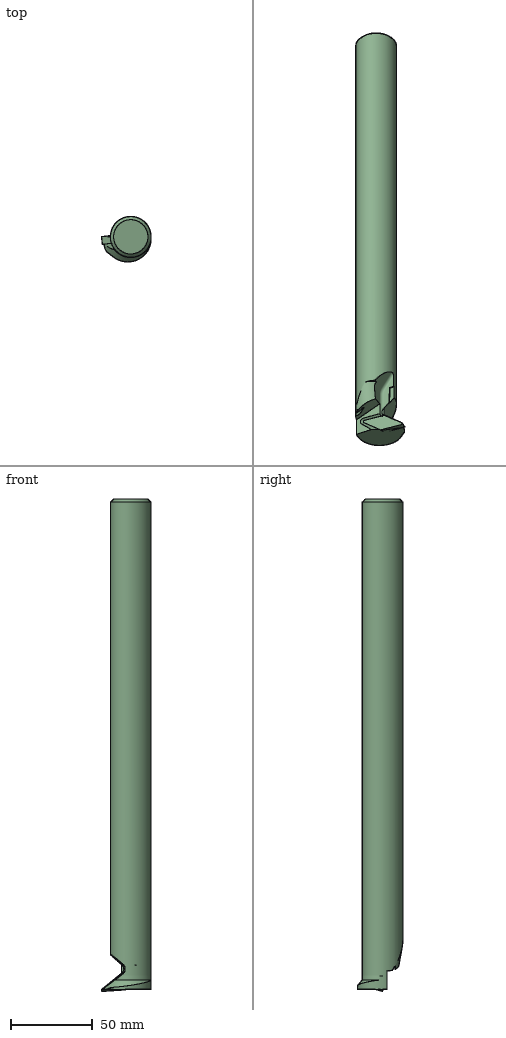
import cadquery as cq
import math

shank_radius = 24.98 / 2
bar_top = 301.25
bar_end = 1.25
top_chamfer = 2.0

nose_reach = 18.0
nose_radius = 0.8
inscribed_diameter = 9.525
insert_point_angle = 35.0
insert_thickness = 4.76
insert_relief = 7.0
lower_edge_angle = 4.0
upper_edge_angle = lower_edge_angle + insert_point_angle
insert_edge = inscribed_diameter / math.sin(math.radians(insert_point_angle))
head_tilt = 8.0

flange_overhang = 15.41
flange_center_x = -1.8
flange_radius = shank_radius - flange_center_x
flange_center_y = flange_radius - flange_overhang
flange_side_angle = 232.0
flange_corner_y = -8.5
flange_tip_x = -17.6
neck_top = 9.6
neck_growth = 0.2
flare_top = 6.9
flare_angle = 40.0

notch_top = 22.5
notch_slope = 48.0
notch_relief = 4.0
notch_fillet = 3.0

pocket_floor_y = 0.6
pocket_top = 41.0
pocket_wall_x = -4.0
pocket_slope = 36.0
pocket_ramp_fillet = 8.5
pocket_floor_fillet = 1.8

lip_y = 2.8
lip_flare = 45.0
lip_cut_top = 19.0
lip_cut_slope = 22.0
back_offset = 3.0
back_taper = 10.0
back_taper_start = 31.0

clear = 40.0


def along(point, angle, length):
    """The point at a distance from another, at an angle in degrees from the first axis."""
    turn = math.radians(angle)
    return (point[0] + length * math.cos(turn), point[1] + length * math.sin(turn))


def tilted(shape):
    """Leans a shape about the X axis, so that its upper end moves toward +Y."""
    return shape.rotate((0, 0, 0), (1, 0, 0), -head_tilt)


nose_center = (-nose_reach + nose_radius, nose_radius)
corner_setback = nose_radius / math.sin(math.radians(insert_point_angle / 2))
insert_corner = along(nose_center, lower_edge_angle + insert_point_angle / 2, -corner_setback)


def insert_outline():
    lower = along(insert_corner, lower_edge_angle, insert_edge)
    upper = along(insert_corner, upper_edge_angle, insert_edge)
    far = along(lower, upper_edge_angle, insert_edge)
    outline = cq.Sketch().polygon([insert_corner, lower, far, upper, insert_corner])
    return outline.vertices("<X or >X").fillet(nose_radius)


def make_insert():
    plate = cq.Workplane("XZ").placeSketch(insert_outline()).extrude(insert_thickness, taper=insert_relief)
    return tilted(plate)


def insert_opening():
    """The open space over the rake face of the insert, flaring out through the lip."""
    height = 2 * lip_y
    return tilted(cq.Workplane("XZ").placeSketch(insert_outline()).extrude(-height, taper=-lip_flare))


def make_shank():
    shank = cq.Workplane("XY").workplane(offset=bar_end).circle(shank_radius).extrude(bar_top - bar_end)
    return shank.faces(">Z").chamfer(top_chamfer)


def make_flange():
    """A flared collar, trimmed to an eccentric outline on the -Y half."""
    neck_radius = shank_radius + neck_growth
    rim_radius = neck_radius + (flare_top - bar_end) * math.tan(math.radians(flare_angle))
    collar = (
        cq.Workplane("XZ")
        .polyline([
            (0, neck_top),
            (shank_radius, neck_top),
            (neck_radius, flare_top),
            (rim_radius, bar_end),
            (0, bar_end),
        ])
        .close()
        .revolve(360, (0, 0, 0), (0, 1, 0))
    )
    center = (flange_center_x, flange_center_y)
    side_start = along(center, flange_side_angle, flange_radius)
    side_length = (flange_corner_y - side_start[1]) / -math.cos(math.radians(flange_side_angle))
    flange_corner = along(side_start, flange_side_angle - 90, side_length)
    outline = (
        cq.Workplane("XY")
        .moveTo(shank_radius, 0)
        .lineTo(shank_radius, flange_center_y)
        .threePointArc(along(center, 270, flange_radius), side_start)
        .lineTo(*flange_corner)
        .lineTo(flange_tip_x, 0)
        .close()
        .extrude(neck_top)
    )
    return collar.intersect(outline)


def clearance_notch():
    """The space between the bar and the upper insert edge, widening toward -Y."""
    slope = math.tan(math.radians(notch_slope))
    rise = math.tan(math.radians(upper_edge_angle))
    left = -clear
    slope_at_left = notch_top + (-shank_radius - left) / slope
    edge_at_left = insert_corner[1] + (left - insert_corner[0]) * rise
    root_x = left + (slope_at_left - edge_at_left) / (rise + 1 / slope)
    root_z = edge_at_left + (root_x - left) * rise
    outline = (
        cq.Sketch()
        .polygon([
            (left, slope_at_left),
            (root_x, root_z),
            (left, edge_at_left),
            (left, slope_at_left),
        ])
        .vertices(">X")
        .fillet(notch_fillet)
    )
    start = cq.Workplane("XZ", origin=(0, pocket_floor_y, 0))
    return start.placeSketch(outline).extrude(clear, taper=-notch_relief)


def chip_pocket():
    """A pocket with a ramp at its upper end, rounded into the wall and the floor."""
    slope = math.tan(math.radians(pocket_slope))
    left = -clear
    ramp_at_left = pocket_top + (-shank_radius - left) / slope
    ramp_at_wall = pocket_top - (pocket_wall_x + shank_radius) / slope
    space = (
        cq.Workplane("XZ", origin=(0, pocket_floor_y, 0))
        .polyline([
            (left, ramp_at_left),
            (pocket_wall_x, ramp_at_wall),
            (pocket_wall_x, -clear),
            (left, -clear),
        ])
        .close()
        .extrude(-clear)
    )
    space = space.edges("|Y").edges(cq.NearestToPointSelector((pocket_wall_x, clear / 2, ramp_at_wall)))
    space = space.fillet(pocket_ramp_fillet)
    return space.faces("<Y").edges(">X").fillet(pocket_floor_fillet)


def lip_cut():
    """Frees the +Y side of the nose below a sloping face, down to the lip."""
    drop = math.tan(math.radians(lip_cut_slope))
    return (
        cq.Workplane("XZ", origin=(0, lip_y, 0))
        .polyline([
            (-clear, lip_cut_top + (pocket_wall_x + clear) * drop),
            (clear, lip_cut_top + (pocket_wall_x - clear) * drop),
            (clear, -clear),
            (-clear, -clear),
        ])
        .close()
        .extrude(-clear)
    )


def back_relief():
    """The part of the +Y half, below the taper start, outside an offset and leaning cylinder."""
    block = cq.Workplane("XY").box(2 * clear, clear, back_taper_start, centered=(True, False, False))
    core = (
        cq.Workplane("XY")
        .circle(shank_radius)
        .extrude(4 * clear)
        .translate((0, 0, -2 * clear))
        .rotate((0, 0, 0), (1, 0, 0), -back_taper)
        .translate((back_offset, 0, back_taper_start))
    )
    return block.cut(core)


insert = make_insert()
bar = make_shank().union(make_flange())
for opening in (clearance_notch(), chip_pocket(), lip_cut(), back_relief(), insert_opening(), insert):
    bar = bar.cut(opening)

result = cq.Compound.makeCompound([bar.val(), insert.val()])